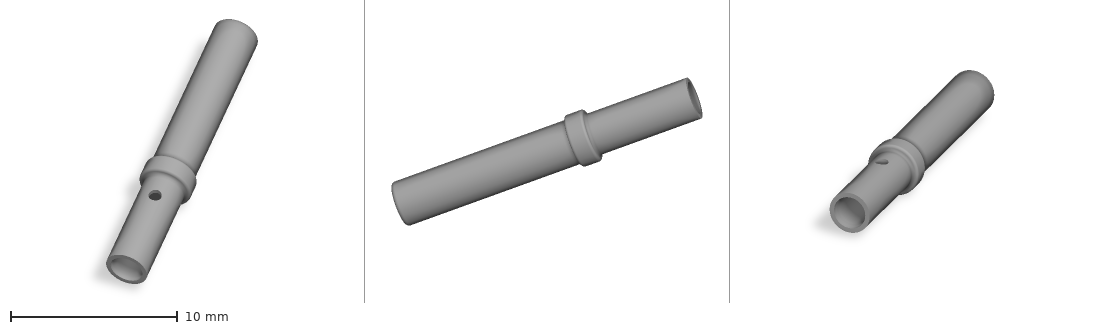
import cadquery as cq

length = 19.15
crimp_end_y = -length / 2

crimp_radius = 1.3
bore_radius = 1.01
bore_depth = 6.0

collar_radius = 1.65
collar_start = 6.59
collar_width = 1.23
collar_fillet = (collar_radius - crimp_radius) / 2

contact_radius = 1.4
tip_fillet = 0.25

inspection_radius = 0.4
inspection_from_end = 4.95


def round_bar(radius, start, bar_length):
    """Solid bar along +Y, starting at a distance from the crimp end."""
    origin = (0, crimp_end_y + start, 0)
    return cq.Workplane("XZ", origin=origin).circle(radius).extrude(-bar_length)


crimp_barrel = round_bar(crimp_radius, 0, collar_start)
collar = round_bar(collar_radius, collar_start, collar_width).edges().fillet(collar_fillet)
contact_start = collar_start + collar_width
contact_barrel = (
    round_bar(contact_radius, contact_start, length - contact_start)
    .edges(">Y")
    .fillet(tip_fillet)
)


def root_fillet():
    """Concave ring blending the crimp barrel into the collar face."""
    face_y = crimp_end_y + collar_start
    mouth_y = face_y - collar_fillet
    blend_radius = crimp_radius + collar_fillet
    return (
        cq.Workplane("XY")
        .moveTo(0, mouth_y)
        .lineTo(crimp_radius, mouth_y)
        .radiusArc((blend_radius, face_y), collar_fillet)
        .lineTo(0, face_y)
        .close()
        .revolve(360, (0, 0, 0), (0, 1, 0))
    )


bore = round_bar(bore_radius, 0, bore_depth)
inspection_hole = (
    cq.Workplane("XY", origin=(0, crimp_end_y + inspection_from_end, 0))
    .circle(inspection_radius)
    .extrude(collar_radius)
)

result = (
    crimp_barrel.union(root_fillet())
    .union(collar)
    .union(contact_barrel)
    .cut(bore)
    .cut(inspection_hole)
)